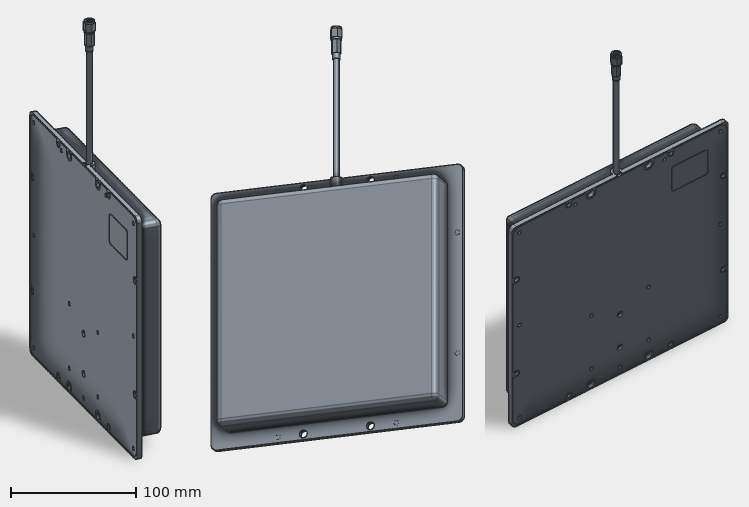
import cadquery as cq
import math


panel_size = 215.7
panel_half = panel_size / 2
total_depth = 27.7
overall_height = 342.5
connector_top = overall_height - panel_half

flange_thickness = 4.0
flange_corner = 4.8
box_size = 190.0
box_half = box_size / 2
box_fillet = 4.8

rim_width = 1.5
plate_size = panel_size - 2 * rim_width
plate_half = plate_size / 2
plate_thickness = 2.0
plate_corner = 7.0

cover_screw_along = 50.7
cover_screw_out = 103.0
cover_screw_hole = 4.0
cover_screw_depth = 3.0
cover_screw_notch = 6.0

mount_along = 28.8
mount_out = 103.0
mount_hole = 6.5
mount_notch = 10.0

plate_hole = 3.5
plate_hole_out = 100.0
top_hole_along = 44.5
bracket_hole = 3.5
bracket_pitch = 57.2
bracket_half_pitch = bracket_pitch / 2
bracket_centre_z = -57.5
stud_hole = 5.5
stud_upper_z = -42.8
stud_lower_z = -78.5

label_left = 51.7
label_width = 36.0
label_bottom = 61.0
label_height = 26.7
label_corner = 2.5
label_thickness = 0.5

cable_dia = 4.8
cable_y = 5.0
exit_dia = 9.2

ferrule_dia = 6.0
ferrule_length = 4.8
grip_flats = 7.0
grip_length = 11.3
nut_flats = 8.5
nut_length = 10.5
nut_collar_dia = 8.2
nut_collar_length = 1.7
socket_dia = 5.5
socket_depth = 5.0
pin_dia = 1.5
nut_base = connector_top - nut_length
grip_base = nut_base - grip_length
ferrule_base = grip_base - ferrule_length


def mounting_face():
    """Workplane on Y = 0 that extrudes toward +Y; its X points toward -X, so x is entered negated."""
    return cq.Workplane(cq.Plane(origin=(0, 0, 0), xDir=(-1, 0, 0), normal=(0, 1, 0)))


def at_height(z):
    """Workplane across the cable axis at height z."""
    return cq.Workplane("XY", origin=(0, cable_y, z))


def rounded_slab(size, corner, depth):
    """Square slab with rounded corners, from the mounting face into +Y."""
    return mounting_face().rect(size, size).extrude(depth).edges("|Y").fillet(corner)


def holes(points, diameter, depth):
    """Cylinders from the mounting face into the panel, at (x, z) points."""
    mirrored = [(-x, z) for x, z in points]
    return mounting_face().pushPoints(mirrored).circle(diameter / 2).extrude(depth)


def edge_notch(along, out, width, turn):
    """Round-ended notch opening to the top edge, turned about Y to the edge wanted."""
    length = panel_half - out
    slot = mounting_face().center(-along, out + length / 2).rect(width, length).extrude(plate_thickness)
    slot = slot.union(holes([(along, out)], width, plate_thickness))
    return slot.rotate((0, 0, 0), (0, 1, 0), turn)


cover_screw_points = []
for side in (-1, 1):
    for end in (-1, 1):
        cover_screw_points.append((side * cover_screw_along, end * cover_screw_out))
        cover_screw_points.append((end * cover_screw_out, side * cover_screw_along))

mount_points = [(sx * mount_along, sz * mount_out) for sx in (-1, 1) for sz in (-1, 1)]

plate_hole_points = [(0, -plate_hole_out)]
for side in (-1, 1):
    plate_hole_points.append((side * top_hole_along, plate_hole_out))
    for row in (-1, 0, 1):
        plate_hole_points.append((side * plate_hole_out, row * plate_hole_out))

bracket_points = [
    (sx * bracket_half_pitch, bracket_centre_z + sz * bracket_half_pitch) for sx in (-1, 1) for sz in (-1, 1)
]
stud_points = [(0, stud_upper_z), (0, stud_lower_z)]


def plate_blank():
    """Plate outline with the notches for the cover's tabs, before its holes are made."""
    blank = rounded_slab(plate_size, plate_corner, plate_thickness)
    for side in (-1, 1):
        for turn in (0, 180):
            blank = blank.cut(edge_notch(side * mount_along, mount_out, mount_notch, turn))
        for turn in (0, 90, 180, 270):
            blank = blank.cut(edge_notch(side * cover_screw_along, cover_screw_out, cover_screw_notch, turn))
    return blank


def make_exit_boss():
    """Half-round sleeve behind the flange, running from the box to the flange edge along the cable."""
    base = box_half - box_fillet
    boss = at_height(base).circle(exit_dia / 2).extrude(panel_half - base)
    in_front = cq.Workplane("XY").box(exit_dia, flange_thickness, panel_half, centered=(True, False, False))
    return boss.cut(in_front)


def make_cable_groove():
    """Round-bottomed groove across the rim for the cable, open to the mounting face."""
    length = panel_half - plate_half
    bottom = at_height(plate_half).circle(cable_dia / 2).extrude(length)
    mouth = cq.Workplane("XY").box(cable_dia, cable_y, length, centered=(True, False, False))
    return bottom.union(mouth.translate((0, 0, plate_half)))


def make_cover():
    flange = rounded_slab(panel_size, flange_corner, flange_thickness)
    box = rounded_slab(box_size, box_fillet, total_depth).faces(">Y").edges().fillet(box_fillet)
    cover = flange.union(box).union(make_exit_boss())
    cover = cover.cut(plate_blank())
    cover = cover.cut(holes(mount_points, mount_hole, flange_thickness))
    cover = cover.cut(holes(cover_screw_points, cover_screw_hole, cover_screw_depth))
    return cover.cut(make_cable_groove())


def make_plate():
    plate = plate_blank()
    plate = plate.cut(holes(plate_hole_points, plate_hole, plate_thickness))
    plate = plate.cut(holes(bracket_points, bracket_hole, plate_thickness))
    plate = plate.cut(holes(stud_points, stud_hole, plate_thickness))
    return plate.cut(make_label())


def make_label():
    """Thin label sunk flush into the plate."""
    centre_x = label_left + label_width / 2
    centre_z = label_bottom + label_height / 2
    outline = mounting_face().center(-centre_x, centre_z).rect(label_width, label_height)
    return outline.extrude(label_thickness).edges("|Y").fillet(label_corner)


def make_cable():
    return at_height(plate_half).circle(cable_dia / 2).extrude(ferrule_base - plate_half)


def hexagon(z, flats, length):
    """Hexagonal bar with two corners on the X axis."""
    return at_height(z).polygon(6, flats / math.cos(math.pi / 6)).extrude(length)


def make_connector():
    nut = hexagon(nut_base, nut_flats, nut_length)
    for start in (nut_base, connector_top - nut_collar_length):
        trim = at_height(start).circle(nut_flats).circle(nut_collar_dia / 2)
        nut = nut.cut(trim.extrude(nut_collar_length))
    socket = at_height(connector_top - socket_depth).circle(socket_dia / 2).circle(pin_dia / 2)
    nut = nut.cut(socket.extrude(socket_depth))
    grip = hexagon(grip_base, grip_flats, grip_length)
    ferrule = at_height(ferrule_base).circle(ferrule_dia / 2).extrude(ferrule_length)
    return nut.union(grip).union(ferrule)


cover = make_cover()
plate = make_plate()
label = make_label()
cable = make_cable()
connector = make_connector()

result = cq.Compound.makeCompound([cover.val(), plate.val(), label.val(), cable.val(), connector.val()])